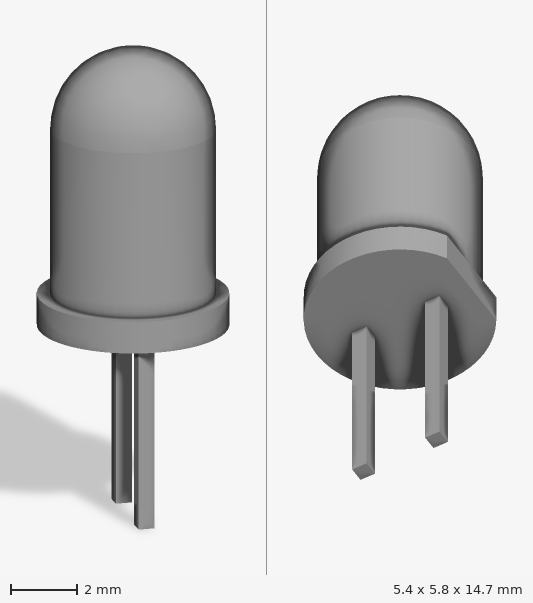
import cadquery as cq
import math


total_height = 14.7
lens_diameter = 5.0
lens_height = 8.7
flange_diameter = 5.8
flange_thickness = 1.0
lead_width = 0.5
lead_pitch = 2.55
lead_length_difference = 0.05

lens_radius = lens_diameter / 2
dome_base = lens_height - lens_radius
flange_radius = flange_diameter / 2
long_lead_length = total_height - lens_height
short_lead_length = long_lead_length - lead_length_difference


def make_lens():
    """Domed cylinder and its flange, one solid revolved about Z."""
    dome_middle = lens_radius * math.sqrt(0.5)
    return (
        cq.Workplane("XZ")
        .lineTo(flange_radius, 0)
        .lineTo(flange_radius, flange_thickness)
        .lineTo(lens_radius, flange_thickness)
        .lineTo(lens_radius, dome_base)
        .threePointArc((dome_middle, dome_base + dome_middle), (0, lens_height))
        .close()
        .revolve(360, (0, 0, 0), (0, 1, 0))
    )


def cut_flange_flat(lens):
    """Trim the -X side of the flange flush with the lens cylinder."""
    flat_cutter = (
        cq.Workplane("XY")
        .box(flange_radius, flange_diameter, flange_thickness, centered=(False, True, False))
        .translate((-lens_radius - flange_radius, 0, 0))
    )
    return lens.cut(flat_cutter).solids()


def make_lead(x_position, length):
    """Square lead hanging from the flange underside."""
    return (
        cq.Workplane("XY")
        .center(x_position, 0)
        .rect(lead_width, lead_width)
        .extrude(-length)
    )


lens = cut_flange_flat(make_lens())

lead_layout = [
    (-lead_pitch / 2, short_lead_length),
    (lead_pitch / 2, long_lead_length),
]
leads = [make_lead(x_position, length) for x_position, length in lead_layout]

result = cq.Compound.makeCompound([lens.val(), *[lead.val() for lead in leads]])